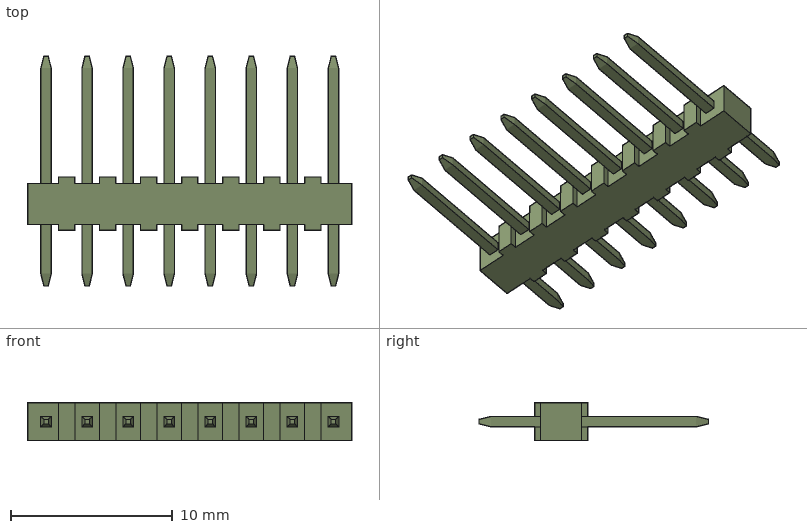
import cadquery as cq

pin_count = 8
pitch = 2.54
pin_width = 0.66
pin_length = 14.22
tip_width = 0.28
tip_length = 0.76

body_length = 20.07
body_depth = 2.54
body_height = 2.36
rib_width = 1.02
rib_depth = 3.30

short_tail_length = 3.45

pin_start_y = -rib_depth / 2 - short_tail_length
pin_end_y = pin_start_y + pin_length
body_center_y = -0.025


def row_positions(count):
    """X positions of evenly pitched items centred on the origin."""
    return [(i - (count - 1) / 2) * pitch for i in range(count)]


def make_body():
    """Rectangular bar with a cross rib between each pair of pins."""
    body = cq.Workplane("XY").box(body_length, body_depth, body_height)
    body = body.translate((0, body_center_y, 0))
    for x in row_positions(pin_count - 1):
        rib = cq.Workplane("XY").box(rib_width, rib_depth, body_height)
        body = body.union(rib.translate((x, 0, 0)))
    return body


def make_tip(base_y, end_y):
    """Square pyramid frustum from the pin shank to its blunt end."""
    return (
        cq.Workplane("XZ", origin=(0, base_y, 0))
        .rect(pin_width, pin_width)
        .workplane(offset=base_y - end_y)
        .rect(tip_width, tip_width)
        .loft(ruled=True)
    )


def make_pin():
    """Square pin along Y, tapered at both ends."""
    shank_start_y = pin_start_y + tip_length
    shank_end_y = pin_end_y - tip_length
    shank = cq.Workplane("XY").box(pin_width, shank_end_y - shank_start_y, pin_width)
    shank = shank.translate((0, (shank_start_y + shank_end_y) / 2, 0))
    return shank.union(make_tip(shank_start_y, pin_start_y)).union(make_tip(shank_end_y, pin_end_y))


pin = make_pin()
result = make_body()
for pin_x in row_positions(pin_count):
    result = result.union(pin.translate((pin_x, 0, 0)))